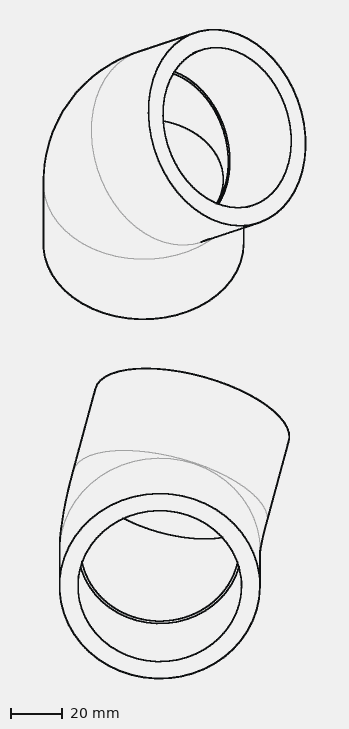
import cadquery as cq

outer_diameter = 77.5
socket_diameter = 63.2
bore_diameter = 61.2
leg_length = 35.7
socket_depth = 38.1
throat_radius = 0.7
bend_angle = 45

bend_radius = outer_diameter / 2 + throat_radius


def bend(diameter):
    """Toroidal bend that leaves the lower leg upwards and leans towards +X."""
    return (
        cq.Workplane("XY")
        .circle(diameter / 2)
        .revolve(bend_angle, (bend_radius, 0, 0), (bend_radius, 1, 0))
    )


def lower_cylinder(diameter, start, end):
    """Cylinder on the lower leg, between two distances from the bend."""
    return cq.Workplane("XY").workplane(offset=-end).circle(diameter / 2).extrude(end - start)


def upper_cylinder(diameter, start, end):
    """Cylinder on the tilted leg, between two distances from the bend."""
    upright = cq.Workplane("XY").workplane(offset=start).circle(diameter / 2).extrude(end - start)
    return upright.rotate((bend_radius, 0, 0), (bend_radius, 1, 0), bend_angle)


def elbow(diameter):
    """Bend with a straight leg on each end, all of one diameter."""
    return (
        bend(diameter)
        .union(lower_cylinder(diameter, 0, leg_length))
        .union(upper_cylinder(diameter, 0, leg_length))
    )


socket_start = leg_length - socket_depth
result = (
    elbow(outer_diameter)
    .cut(elbow(bore_diameter))
    .cut(lower_cylinder(socket_diameter, socket_start, leg_length))
    .cut(upper_cylinder(socket_diameter, socket_start, leg_length))
)